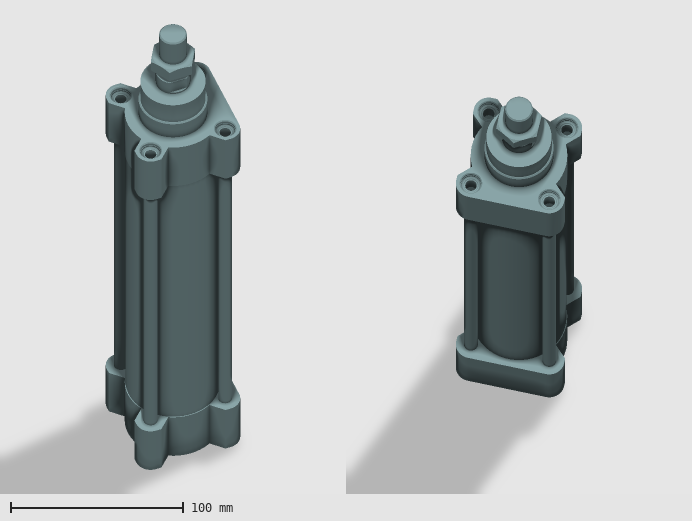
import cadquery as cq
import math

cap_side = 64.0
cap_height = 33.2
cap_body_diameter = 56.0
tube_length = 199.8
tube_diameter = 55.0
overall_height = 337.8

bolt_spacing = 46.5
tie_rod_diameter = 8.0
lobe_flat_end = 20.0

recess_mouth_diameter = 13.2
recess_diameter = 12.0
recess_depth = 2.0
screw_rim_diameter = 11.45
screw_rim_depth = 1.0
screw_mouth_diameter = 8.8
screw_mouth_floor_diameter = 8.0
screw_bore_diameter = 6.65
screw_bore_depth = 10.0
drill_point_angle = 118.0

boss_diameter = 40.0
rear_boss_height = 4.0
rear_boss_chamfer = 0.5
front_boss_height = 12.0
front_boss_chamfer = 0.8
collar_top_height = 26.4
collar_diameter = 37.8
collar_waist_diameter = 37.2

rod_diameter = 20.0
rod_flat_width = 17.0
rod_flat_length = 8.0
thread_diameter = 16.0
thread_tip_diameter = 14.38
thread_length = 32.0
neck_diameter = 13.9
neck_length = 2.2

nut_flats = 24.0
nut_height = 8.0
nut_drop = 18.0
nut_bevel_angle = 30.0

tube_bottom = cap_height
head_bottom = tube_bottom + tube_length
head_top = head_bottom + cap_height
boss_top = head_top + front_boss_height
collar_top = head_top + collar_top_height
rod_tip = overall_height - rear_boss_height
rod_shoulder = rod_tip - thread_length
nut_top = rod_tip - nut_drop
half_side = cap_side / 2
half_pitch = bolt_spacing / 2
lobe_radius = half_side - half_pitch
bolt_points = [(sx * half_pitch, sy * half_pitch) for sx in (-1, 1) for sy in (-1, 1)]


def cylinder(diameter, bottom, top):
    return cq.Workplane("XY").workplane(offset=bottom).circle(diameter / 2).extrude(top - bottom)


def revolve_profile(points):
    """Revolve a closed (radius, z) outline about the Z axis."""
    return cq.Workplane("XZ").polyline(points).close().revolve(360, (0, 0), (0, 1))


def lobe(bottom):
    """Corner lobe in the -X -Y corner: rounded outside, with 45 degree sides to the cap body."""
    arc_point = half_pitch + lobe_radius * math.sqrt(0.5)
    inner = half_side - lobe_flat_end
    return (
        cq.Workplane("XY").workplane(offset=bottom)
        .moveTo(-half_side, -half_pitch)
        .threePointArc((-arc_point, -arc_point), (-half_pitch, -half_side))
        .lineTo(-lobe_flat_end, -half_side)
        .lineTo(0, -inner)
        .lineTo(-inner, 0)
        .lineTo(-half_side, -lobe_flat_end)
        .close()
        .extrude(cap_height)
    )


def cap(bottom):
    """End cap: round body, four corner lobes and a flat +Y side."""
    body = cylinder(cap_body_diameter, bottom, bottom + cap_height)
    corner = lobe(bottom)
    for quarter in range(4):
        body = body.union(corner.rotate((0, 0, 0), (0, 0, 1), 90 * quarter))
    flat_side = (
        cq.Workplane("XY").workplane(offset=bottom)
        .center(0, half_side / 2)
        .rect(bolt_spacing, half_side)
        .extrude(cap_height)
    )
    return body.union(flat_side)


def screw_recess():
    """Cutter for one recess: chamfered mouth, dished screw head and its conical-ended bore."""
    recess_radius = recess_diameter / 2
    mouth_radius = recess_mouth_diameter / 2
    rim_radius = screw_rim_diameter / 2
    bore_mouth_radius = screw_mouth_diameter / 2
    seat_radius = screw_mouth_floor_diameter / 2
    bore_radius = screw_bore_diameter / 2
    head_level = head_top - recess_depth
    dish_level = head_level - screw_rim_depth
    bore_bottom = dish_level - screw_bore_depth
    point_height = bore_radius / math.tan(math.radians(drill_point_angle / 2))
    seat_level = dish_level - (bore_mouth_radius - seat_radius)
    return revolve_profile([
        (0, head_top),
        (mouth_radius, head_top),
        (recess_radius, head_top - (mouth_radius - recess_radius)),
        (recess_radius, head_level),
        (rim_radius, head_level),
        (rim_radius, dish_level),
        (bore_mouth_radius, dish_level),
        (seat_radius, seat_level),
        (bore_radius, seat_level),
        (bore_radius, bore_bottom),
        (0, bore_bottom - point_height),
    ])


def front_boss():
    """Centring boss with a slightly waisted collar on top."""
    return (
        cq.Workplane("XZ")
        .moveTo(0, head_top)
        .lineTo(boss_diameter / 2, head_top)
        .lineTo(boss_diameter / 2, boss_top - front_boss_chamfer)
        .lineTo(boss_diameter / 2 - front_boss_chamfer, boss_top)
        .lineTo(collar_diameter / 2, boss_top)
        .threePointArc((collar_waist_diameter / 2, (boss_top + collar_top) / 2),
                       (collar_diameter / 2, collar_top))
        .lineTo(0, collar_top)
        .close()
        .revolve(360, (0, 0), (0, 1))
    )


def make_housing():
    """Caps, tube and tie rods as one body, bored for the piston rod."""
    housing = cap(0).union(cap(head_bottom))
    housing = housing.union(cylinder(tube_diameter, tube_bottom, head_bottom))
    rear_boss = cylinder(boss_diameter, -rear_boss_height, 0).faces("<Z").chamfer(rear_boss_chamfer)
    housing = housing.union(rear_boss).union(front_boss())
    recess = screw_recess()
    for x, y in bolt_points:
        housing = housing.union(cylinder(tie_rod_diameter, tube_bottom, head_bottom).translate((x, y, 0)))
        housing = housing.cut(recess.translate((x, y, 0)))
    return housing.cut(cylinder(rod_diameter, head_bottom, collar_top))


def make_rod():
    """Piston rod: plain shank with two wrench flats, undercut neck and threaded end."""
    thread_radius = thread_diameter / 2
    tip_chamfer = thread_radius - thread_tip_diameter / 2
    run_out = thread_radius - neck_diameter / 2
    neck_top = rod_shoulder + neck_length
    rod = revolve_profile([
        (0, head_bottom),
        (rod_diameter / 2, head_bottom),
        (rod_diameter / 2, rod_shoulder),
        (neck_diameter / 2, rod_shoulder),
        (neck_diameter / 2, neck_top),
        (thread_radius, neck_top + run_out),
        (thread_radius, rod_tip - tip_chamfer),
        (thread_tip_diameter / 2, rod_tip),
        (0, rod_tip),
    ])
    flats = (
        cq.Workplane("XY").workplane(offset=rod_shoulder - rod_flat_length)
        .rect(2 * rod_diameter, 2 * rod_diameter)
        .rect(rod_flat_width, 2 * rod_diameter)
        .extrude(rod_flat_length)
    )
    return rod.cut(flats)


def make_nut():
    """Hexagon lock nut, corners along Y, bevelled on its upper face only."""
    corner_diameter = nut_flats / math.cos(math.radians(30))
    corner_radius = corner_diameter / 2
    flat_radius = nut_flats / 2
    bevel = (corner_radius - flat_radius) * math.tan(math.radians(nut_bevel_angle))
    nut_bottom = nut_top - nut_height
    blank = (
        cq.Workplane("XY").workplane(offset=nut_bottom)
        .polygon(6, corner_diameter)
        .extrude(nut_height)
        .rotate((0, 0, 0), (0, 0, 1), 30)
    )
    bevelled = revolve_profile([
        (0, nut_bottom),
        (corner_radius, nut_bottom),
        (corner_radius, nut_top - bevel),
        (flat_radius, nut_top),
        (0, nut_top),
    ])
    return blank.intersect(bevelled).cut(cylinder(thread_diameter, nut_bottom, nut_top))


housing = make_housing()
piston_rod = make_rod()
lock_nut = make_nut()

result = cq.Compound.makeCompound([housing.val(), piston_rod.val(), lock_nut.val()])